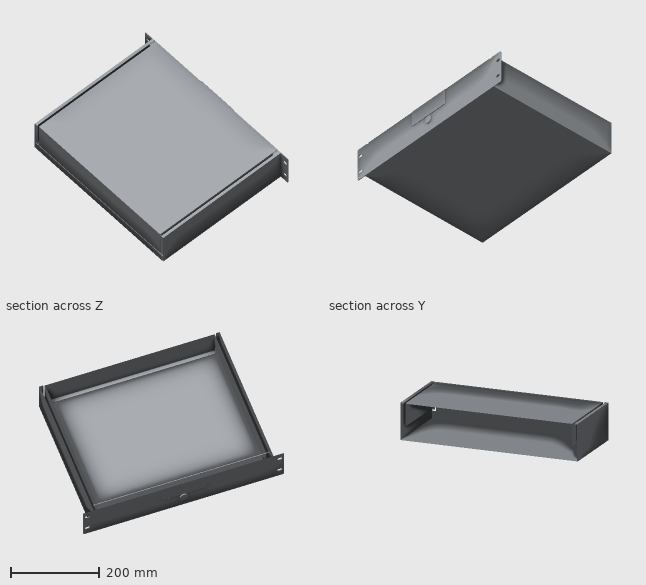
import cadquery as cq


SHEET = 1.5
HEIGHT = 89.0
DEPTH = 360.0

EAR_SPAN = 483.5
EAR_CORNER_RADIUS = 3.0
BOX_WIDTH = 435.0
FLOOR_OVERHANG = 0.15
TOP_LIP_WIDTH = 7.2
REAR_SIDE_LIP_WIDTH = 9.0
REAR_SILL_HEIGHT = 19.5
REAR_SILL_LEDGE = 12.0
RELIEF_GAP = 3.5
LEDGE_END_GAP = 5.0
FRONT_LEDGE = 16.0
FRONT_LEDGE_HEM = 4.5
HEM_BEND_RADIUS = 2.5

SLOT_LENGTH = 11.5
SLOT_WIDTH = 7.0
SLOT_SPACING_X = 464.0
SLOT_SPACING_Z = 44.5

KNOB_DIAMETER = 19.5
KNOB_LENGTH = 3.5
KNOB_Z = 33.0

COVER_CLEARANCE = 0.5
COVER_WIDTH = 410.0
COVER_SKIRT = 54.0
TAB_WIDTH = 110.0
TAB_DROP = 43.0
TAB_GAP = 0.72

WALL_X = BOX_WIDTH / 2 - FLOOR_OVERHANG
LEDGE_WIDTH = BOX_WIDTH - 2 * LEDGE_END_GAP
SILL_REAR_Y = -DEPTH + FLOOR_OVERHANG
SILL_INNER_Y = SILL_REAR_Y + SHEET
LIP_OPENING = 2 * (WALL_X - TOP_LIP_WIDTH)
COVER_UNDERSIDE_Z = HEIGHT - SHEET
FRONT_LEDGE_Z = COVER_UNDERSIDE_Z - COVER_CLEARANCE
SIDE_LIP_Z = REAR_SILL_HEIGHT + RELIEF_GAP


def block(x_range, y_range, z_range):
    """Box between the given (low, high) limits."""
    sizes = [high - low for low, high in (x_range, y_range, z_range)]
    corner = (x_range[0], y_range[0], z_range[0])
    return cq.Workplane("XY").box(*sizes, centered=False).translate(corner)


def centred_block(width, y_range, z_range):
    """Box symmetric about X = 0."""
    return block((-width / 2, width / 2), y_range, z_range)


def both_sides(left_half):
    """A shape on the -X side together with its mirror image."""
    return left_half.union(left_half.mirror("YZ"))


def make_front_panel():
    """Flat panel with rack ears, lowered between the side lips to pass under the cover."""
    panel = centred_block(EAR_SPAN, (-SHEET, 0), (0, HEIGHT)).edges("|Y").fillet(EAR_CORNER_RADIUS)
    top_notch = centred_block(LIP_OPENING, (-SHEET, 0), (FRONT_LEDGE_Z, HEIGHT))
    panel = panel.cut(top_notch)
    slots = (
        cq.Workplane("XZ", origin=(0, 0, HEIGHT / 2))
        .rarray(SLOT_SPACING_X, SLOT_SPACING_Z, 2, 2)
        .slot2D(SLOT_LENGTH, SLOT_WIDTH)
        .extrude(SHEET)
    )
    return panel.cut(slots)


def make_front_ledge():
    """Ledge behind the top of the front panel with a hem turned down at its inner edge."""
    ledge = centred_block(LEDGE_WIDTH, (-FRONT_LEDGE, -SHEET), (FRONT_LEDGE_Z - SHEET, FRONT_LEDGE_Z))
    hem = centred_block(
        LEDGE_WIDTH,
        (-FRONT_LEDGE, SHEET - FRONT_LEDGE),
        (FRONT_LEDGE_Z - FRONT_LEDGE_HEM, FRONT_LEDGE_Z),
    )
    return ledge.union(hem).edges("<Y and >Z").fillet(HEM_BEND_RADIUS)


def make_side_wall():
    """Left wall with its top lip and rear lip."""
    wall = block((-WALL_X, SHEET - WALL_X), (SILL_REAR_Y, 0), (0, HEIGHT))
    top_lip = block((-WALL_X, TOP_LIP_WIDTH - WALL_X), (SILL_REAR_Y, 0), (COVER_UNDERSIDE_Z, HEIGHT))
    rear_lip = block(
        (-WALL_X, REAR_SIDE_LIP_WIDTH - WALL_X), (SILL_REAR_Y, SILL_INNER_Y), (SIDE_LIP_Z, HEIGHT)
    )
    return wall.union(top_lip).union(rear_lip)


def make_rear_sill():
    """Low rear wall with a ledge turned inwards for the cover to stand on."""
    wall = centred_block(2 * WALL_X, (SILL_REAR_Y, SILL_INNER_Y), (0, REAR_SILL_HEIGHT))
    ledge = centred_block(
        LEDGE_WIDTH,
        (SILL_REAR_Y, SILL_REAR_Y + REAR_SILL_LEDGE),
        (REAR_SILL_HEIGHT - SHEET, REAR_SILL_HEIGHT),
    )
    return wall.union(ledge)


def make_knob():
    return (
        cq.Workplane("XZ", origin=(0, 0, KNOB_Z))
        .circle(KNOB_DIAMETER / 2)
        .extrude(-KNOB_LENGTH)
    )


def make_chassis():
    floor = centred_block(BOX_WIDTH, (-DEPTH, 0), (0, SHEET))
    tray = floor.union(both_sides(make_side_wall())).union(make_rear_sill())
    return tray.union(make_front_panel()).union(make_front_ledge()).union(make_knob())


def make_tab():
    """Tab that curves down from the front edge of the cover and hangs in front of the panel."""
    bend_centre_z = COVER_UNDERSIDE_Z - TAB_GAP
    outer_radius = TAB_GAP + SHEET
    bend = (
        cq.Workplane("YZ", origin=(-TAB_WIDTH / 2, 0, bend_centre_z))
        .moveTo(0, outer_radius)
        .radiusArc((outer_radius, 0), outer_radius)
        .lineTo(TAB_GAP, 0)
        .radiusArc((0, TAB_GAP), -TAB_GAP)
        .close()
        .extrude(TAB_WIDTH)
    )
    plate = centred_block(TAB_WIDTH, (TAB_GAP, outer_radius), (HEIGHT - TAB_DROP, bend_centre_z))
    return plate.union(bend)


def make_cover():
    """Top, rear wall and side skirts, with a tab bent down over the front panel."""
    half_width = COVER_WIDTH / 2
    top = centred_block(COVER_WIDTH, (SILL_INNER_Y, 0), (COVER_UNDERSIDE_Z, HEIGHT))
    rear = centred_block(COVER_WIDTH, (SILL_INNER_Y, SILL_INNER_Y + SHEET), (REAR_SILL_HEIGHT, HEIGHT))
    skirt = block(
        (-half_width, SHEET - half_width), (SILL_INNER_Y, -FRONT_LEDGE), (HEIGHT - COVER_SKIRT, HEIGHT)
    )
    return top.union(rear).union(both_sides(skirt)).union(make_tab())


chassis = make_chassis()
cover = make_cover()
result = cq.Compound.makeCompound([chassis.val(), cover.val()])